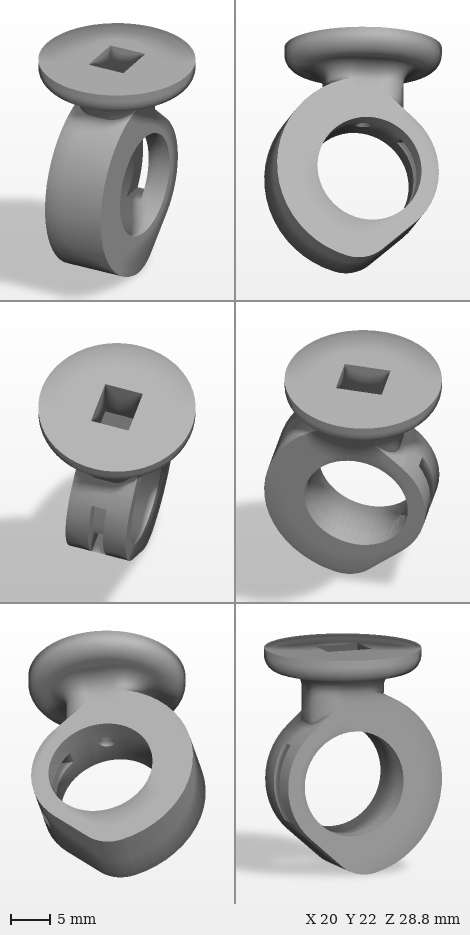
import cadquery as cq
import math


flange_diameter = 20.0
flange_thickness = 3.0
edge_radius = 2.0

neck_length = 10.0
neck_corner_radius = 3.0
flare_radius = 2.0

ring_width = 8.0
axis_depth = 16.98
bore_diameter = 13.5
thick_side_radius = 12.0
thin_side_radius = 9.0
nose_radius = 5.0

pocket_width = 5.0
pocket_length = 6.0
pocket_depth = 6.0
pilot_diameter = 2.0
slot_width = 2.0
slot_height = 10.0


def make_head():
    """Flange with a rounded lower rim, on a neck that reaches down to the ring axis."""
    flange = (
        cq.Workplane("XY")
        .circle(flange_diameter / 2)
        .extrude(-flange_thickness)
        .faces("<Z")
        .edges()
        .fillet(edge_radius)
    )
    neck = (
        cq.Workplane("XY")
        .workplane(offset=-flange_thickness)
        .rect(ring_width, neck_length)
        .extrude(flange_thickness - axis_depth)
        .edges("|Z")
        .fillet(neck_corner_radius)
    )
    half_x = ring_width / 2 + 0.3
    half_y = neck_length / 2 + 0.3
    junction = cq.selectors.BoxSelector(
        (-half_x, -half_y, -flange_thickness - 0.3),
        (half_x, half_y, -flange_thickness + 0.3),
    )
    return flange.union(neck).edges(junction).fillet(flare_radius)


def make_ring():
    """Cam-shaped ring: a large half circle, with tangent lines running to a smaller arc."""
    touch_angle = math.asin(thin_side_radius / thick_side_radius)
    touch_y = thin_side_radius * math.cos(touch_angle)
    touch_z = thin_side_radius * math.sin(touch_angle)
    ring = (
        cq.Workplane("YZ")
        .moveTo(0, thick_side_radius)
        .threePointArc((-thick_side_radius, 0), (0, -thick_side_radius))
        .lineTo(touch_y, -touch_z)
        .threePointArc((thin_side_radius, 0), (touch_y, touch_z))
        .close()
        .extrude(ring_width / 2, both=True)
    )
    ring = ring.edges("|X").edges("<Z").fillet(nose_radius)
    return ring.translate((0, 0, -axis_depth))


def make_bore():
    return (
        cq.Workplane("YZ")
        .center(0, -axis_depth)
        .circle(bore_diameter / 2)
        .extrude(ring_width / 2, both=True)
    )


def make_pocket():
    """Rectangular pocket with a pilot hole that continues into the bore."""
    pocket = cq.Workplane("XY").rect(pocket_width, pocket_length).extrude(-pocket_depth)
    pilot = cq.Workplane("XY").circle(pilot_diameter / 2).extrude(-axis_depth)
    return pocket.union(pilot)


def make_slot():
    """Slot centred on the ring axis height, open from the bore to the outside on +Y."""
    slot = cq.Workplane("XY").box(
        slot_width, thick_side_radius, slot_height, centered=(True, False, True)
    )
    return slot.translate((0, 0, -axis_depth))


body = make_head().union(make_ring())
result = body.cut(make_bore()).cut(make_pocket()).cut(make_slot())